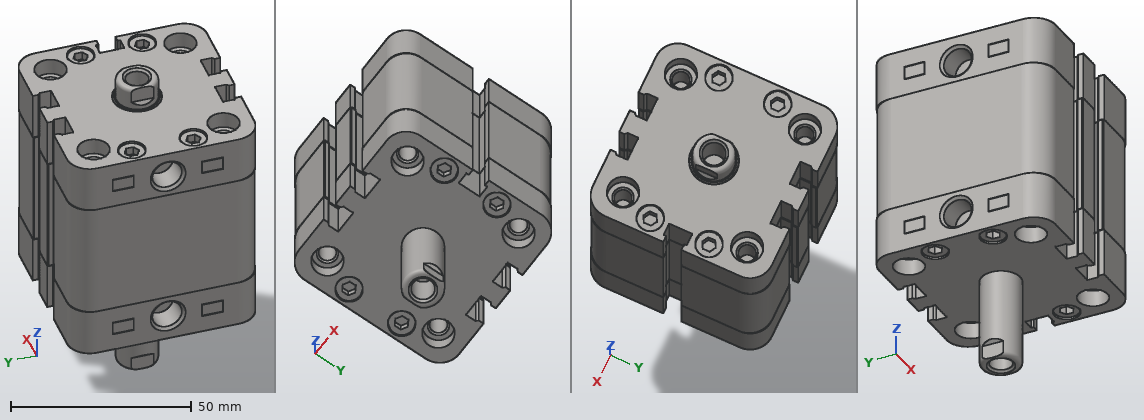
import cadquery as cq
import math

cap_side = 54.8
tube_side = 54.7
cap_height = 14.6
tube_height = 35.8
housing_height = tube_height + 2 * cap_height
overall_height = 99.0
cap_corner_radius = 6.6
tube_corner_radius = 7.0

groove_offset = 6.3
groove_depth = 5.5
groove_width = 7.1
groove_neck_width = 5.7
groove_neck_depth = 1.6
tube_groove_inset = 0.3

side_groove_depth = 5.5
side_groove_width = 7.1
side_groove_neck_width = 5.5
side_groove_neck_depth = 1.9

mount_offset = 19.0
mount_counterbore_diameter = 9.0
mount_counterbore_depth = 4.95
mount_hole_diameter = 4.95
mount_chamfer_diameter = 6.0

screw_x = 22.6
screw_y = 9.0
screw_recess_diameter = 7.7
screw_head_diameter = 7.5
screw_sink = 0.6
screw_gap_depth = 1.2
socket_width = 3.7
socket_depth = 2.5

port_diameter = 8.6
port_chamfer_diameter = 10.3
port_height = 7.9
port_floor_diameter = 40.0

label_width = 6.1
label_height = 4.0
label_depth = 0.3
label_offset = 13.1
label_centre_height = 7.3

rod_diameter = 12.0
rod_top_projection = 6.8
rod_bottom_projection = overall_height - housing_height - rod_top_projection
rod_end_fillet = 1.2
rod_flat_width = 10.0
rod_flat_length = 4.5
rod_thread_diameter = 6.6
rod_thread_chamfer_diameter = 8.0
rod_thread_depth = 11.9

seal_diameter = 13.7
seal_seat_mouth_diameter = 14.0
seal_lip_diameter = 12.6
seal_seat_depth = 3.0
seal_cone_height = 1.0


def flared_drill(diameter, mouth_diameter, depth):
    """Cutter pointing down from z = 0: a hole with a 45 degree chamfer at its mouth."""
    radius = diameter / 2
    mouth_radius = mouth_diameter / 2
    return (
        cq.Workplane("XZ")
        .polyline([
            (0, 0),
            (mouth_radius, 0),
            (radius, radius - mouth_radius),
            (radius, -depth),
            (0, -depth),
        ])
        .close()
        .revolve(360, (0, 0, 0), (0, 1, 0))
    )


def groove_cutter(side, height, inset):
    """Undercut groove open toward -Y; any inset narrows it but leaves its mouth flared to full width."""
    half_neck = groove_neck_width / 2 - inset
    half_width = groove_width / 2 - inset
    face = -side / 2
    shoulder = face + groove_neck_depth
    shoulder_end = shoulder + half_width - half_neck
    floor = face + groove_depth
    groove = (
        cq.Workplane("XY")
        .polyline([
            (-half_neck, face),
            (half_neck, face),
            (half_neck, shoulder),
            (half_width, shoulder_end),
            (half_width, floor),
            (-half_width, floor),
            (-half_width, shoulder_end),
            (-half_neck, shoulder),
        ])
        .close()
        .extrude(height)
    )
    if inset > 0:
        flare = (
            cq.Workplane("XY")
            .polyline([
                (-half_neck - inset, face),
                (half_neck + inset, face),
                (half_neck, face + inset),
                (-half_neck, face + inset),
            ])
            .close()
            .extrude(height)
        )
        groove = groove.union(flare)
    return groove


def side_groove_cutter(side, height):
    """Square-shouldered undercut groove open toward +X."""
    neck_depth = side_groove_neck_depth
    chamber_depth = side_groove_depth - neck_depth
    neck = cq.Workplane("XY").box(neck_depth, side_groove_neck_width, height, centered=(False, True, False))
    chamber = cq.Workplane("XY").box(chamber_depth, side_groove_width, height, centered=(False, True, False))
    return (
        neck.translate((side / 2 - neck_depth, 0, 0))
        .union(chamber.translate((side / 2 - side_groove_depth, 0, 0)))
    )


def rounded_block(side, height, corner_radius):
    """Square block with rounded corners, standing on z = 0."""
    return cq.Workplane("XY").rect(side, side).extrude(height).edges("|Z").fillet(corner_radius)


def cut_profile(block, side, height, inset):
    """Cut the outer grooves and the rod bore through the whole height of a block."""
    for x in (-groove_offset, groove_offset):
        front_groove = groove_cutter(side, height, inset).translate((x, 0, 0))
        block = block.cut(front_groove).cut(front_groove.mirror("XZ"))
    block = block.cut(side_groove_cutter(side, height))
    return block.cut(cq.Workplane("XY").circle(rod_diameter / 2).extrude(height))


def make_tube():
    """Profiled tube with its lower end at z = 0."""
    block = rounded_block(tube_side, tube_height, tube_corner_radius)
    return cut_profile(block, tube_side, tube_height, tube_groove_inset)


def mount_cutter():
    """Mounting hole through the cap from its outer face at z = 0."""
    counterbore = (
        cq.Workplane("XY").circle(mount_counterbore_diameter / 2).extrude(-mount_counterbore_depth)
    )
    bore = flared_drill(mount_hole_diameter, mount_chamfer_diameter, cap_height - mount_counterbore_depth)
    return counterbore.union(bore.translate((0, 0, -mount_counterbore_depth)))


def screw_cutter():
    """Recess that leaves a sunk socket screw head standing in a thin ring."""
    head_height = screw_gap_depth - screw_sink
    socket_diameter = socket_width / math.cos(math.pi / 6)
    recess = cq.Workplane("XY").circle(screw_recess_diameter / 2).extrude(-screw_gap_depth)
    head = (
        cq.Workplane("XY").workplane(offset=-screw_gap_depth)
        .circle(screw_head_diameter / 2).extrude(head_height)
    )
    socket = (
        cq.Workplane("XY").polygon(6, socket_diameter).extrude(-screw_sink - socket_depth)
        .rotate((0, 0, 0), (0, 0, 1), 30)
    )
    return recess.cut(head).union(socket)


def port_cutter():
    """Port drilled from the -X face down to a cylindrical floor about the rod axis."""
    drill = (
        flared_drill(port_diameter, port_chamfer_diameter, cap_side / 2)
        .rotate((0, 0, 0), (0, 1, 0), -90)
        .translate((-cap_side / 2, 0, cap_height - port_height))
    )
    floor = cq.Workplane("XY").circle(port_floor_diameter / 2).extrude(cap_height)
    return drill.cut(floor)


def make_cap():
    """End cap with its outer face up; its inner face lies on z = 0."""
    block = rounded_block(cap_side, cap_height, cap_corner_radius)
    cap = cut_profile(block, cap_side, cap_height, 0)
    for sx in (-1, 1):
        for sy in (-1, 1):
            cap = cap.cut(mount_cutter().translate((sx * mount_offset, sy * mount_offset, cap_height)))
            cap = cap.cut(screw_cutter().translate((sx * screw_x, sy * screw_y, cap_height)))
    cap = cap.cut(port_cutter())
    label = cq.Workplane("XY").box(label_depth, label_width, label_height, centered=(False, True, True))
    for y in (-label_offset, label_offset):
        cap = cap.cut(label.translate((-cap_side / 2, y, cap_height - label_centre_height)))
    return cap


def make_seal():
    """Ring with a conical outer lip, top lip at z = 0."""
    bore_radius = rod_diameter / 2
    return (
        cq.Workplane("XZ")
        .polyline([
            (bore_radius, 0),
            (seal_lip_diameter / 2, 0),
            (seal_diameter / 2, -seal_cone_height),
            (seal_diameter / 2, -seal_seat_depth),
            (bore_radius, -seal_seat_depth),
        ])
        .close()
        .revolve(360, (0, 0, 0), (0, 1, 0))
    )


def rod_end_cutter():
    """Threaded hole and two wrench flats of a rod end at z = 0, the rod below it."""
    outer = rod_diameter
    flat = rod_flat_width / 2
    run_out = outer - flat
    cutter = flared_drill(rod_thread_diameter, rod_thread_chamfer_diameter, rod_thread_depth)
    flat_cut = (
        cq.Workplane("XZ")
        .polyline([
            (flat, 0),
            (outer, 0),
            (outer, -rod_flat_length - run_out),
            (flat, -rod_flat_length),
        ])
        .close()
        .extrude(rod_diameter / 2, both=True)
    )
    return cutter.union(flat_cut).union(flat_cut.mirror("YZ"))


def make_rod():
    """Through rod with the same rounded, drilled and flatted form at both ends."""
    top = housing_height + rod_top_projection
    bottom = -rod_bottom_projection
    rod = (
        cq.Workplane("XY").workplane(offset=bottom)
        .circle(rod_diameter / 2).extrude(top - bottom)
        .edges("%CIRCLE").fillet(rod_end_fillet)
    )
    rod = rod.cut(rod_end_cutter().translate((0, 0, top)))
    return rod.cut(rod_end_cutter().mirror("XY").translate((0, 0, bottom)))


tube = make_tube().translate((0, 0, cap_height))
bottom_cap = make_cap().mirror("XY").translate((0, 0, cap_height))
seal_seat = (
    flared_drill(seal_diameter, seal_seat_mouth_diameter, seal_seat_depth)
    .translate((0, 0, housing_height))
)
top_cap = make_cap().translate((0, 0, housing_height - cap_height)).cut(seal_seat)
seal = make_seal().translate((0, 0, housing_height))
rod = make_rod()

result = cq.Compound.makeCompound([
    tube.val(),
    bottom_cap.val(),
    top_cap.val(),
    seal.val(),
    rod.val(),
])